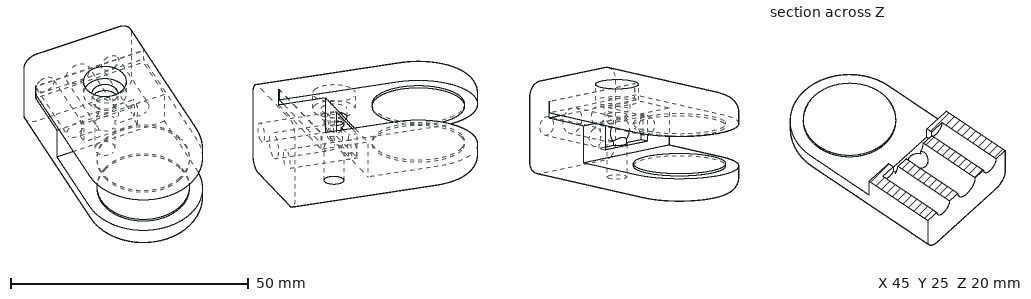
import cadquery as cq

length = 45.0
width = 25.0
height = 20.0
end_radius = width / 2
end_center_x = length - end_radius
edge_radius = 3.0

jaw_thickness = 5.45
upper_jaw_bottom = height - jaw_thickness
block_end_x = 16.4
block_top = 13.4
slot_start_x = 5.85
relief_width = 0.15
relief_top = height - edge_radius

pad_diameter = 19.5
pad_thickness = 0.5

screw_x = 13.5
head_diameter = 9.0
head_depth = 3.65
clearance_diameter = 5.5
thread_diameter = 4.2

center_hole_diameter = 5.5
side_hole_diameter = 4.0
side_hole_offset = 7.5
side_hole_depth = 15.0
pocket_width = 12.35
pocket_depth = 2.0


def box_between(x_start, x_end, z_start, z_end, box_width):
    """Box centred on Y = 0 between the given X and Z limits."""
    box = cq.Workplane("XY").box(
        x_end - x_start, box_width, z_end - z_start, centered=(False, True, False)
    )
    return box.translate((x_start, 0, z_start))


def vertical_cylinder(x, diameter, z_start, z_end):
    return cq.Workplane("XY", origin=(x, 0, z_start)).circle(diameter / 2).extrude(z_end - z_start)


def end_hole(y, diameter, depth):
    """Cylinder running along X from the flat end at mid height."""
    return cq.Workplane("YZ", origin=(0, y, height / 2)).circle(diameter / 2).extrude(depth)


def rounded_body():
    outline = (
        cq.Workplane("XY")
        .moveTo(0, -width / 2)
        .lineTo(end_center_x, -width / 2)
        .threePointArc((length, 0), (end_center_x, width / 2))
        .lineTo(0, width / 2)
        .close()
    )
    return outline.extrude(height).faces("|Z").edges("not(<X)").fillet(edge_radius)


result = rounded_body()

result = result.cut(box_between(block_end_x, length, jaw_thickness, upper_jaw_bottom, width))
result = result.cut(box_between(slot_start_x, block_end_x, block_top, upper_jaw_bottom, width))
result = result.cut(
    box_between(slot_start_x, slot_start_x + relief_width, upper_jaw_bottom, relief_top, width)
)

for pad_bottom in (jaw_thickness, upper_jaw_bottom - pad_thickness):
    pad = vertical_cylinder(end_center_x, pad_diameter, pad_bottom, pad_bottom + pad_thickness)
    result = result.union(pad)

result = result.cut(vertical_cylinder(screw_x, head_diameter, height - head_depth, height))
result = result.cut(vertical_cylinder(screw_x, clearance_diameter, upper_jaw_bottom, height))
result = result.cut(vertical_cylinder(screw_x, thread_diameter, 0, block_top))

result = result.cut(end_hole(0, center_hole_diameter, block_end_x))
for side in (-1, 1):
    result = result.cut(end_hole(side * side_hole_offset, side_hole_diameter, side_hole_depth))

pocket_bottom = (height - center_hole_diameter) / 2
pocket_top = (height + center_hole_diameter) / 2
result = result.cut(
    box_between(block_end_x - pocket_depth, block_end_x, pocket_bottom, pocket_top, pocket_width)
)